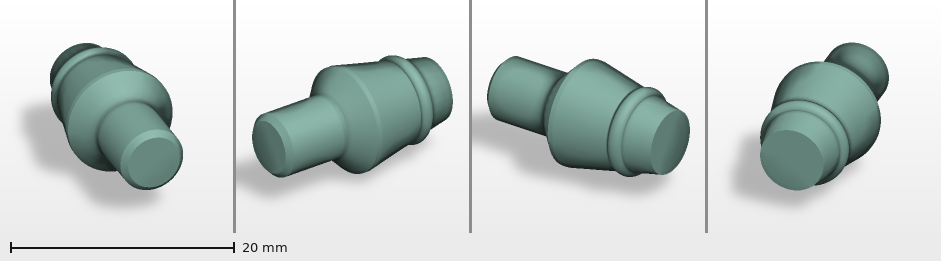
import cadquery as cq

length = 18.41
head_diameter = 10.0
shank_diameter = 6.0
nose_length = 9.4
band_width = 0.5
root_fillet = 0.37
end_chamfer = 0.53

ring_x = 3.5
ring_section_radius = 0.75
ring_outer_radius = 4.16

head_radius = head_diameter / 2
shank_radius = shank_diameter / 2
band_end = nose_length + band_width
shoulder_end = band_end + head_radius - shank_radius
ring_start = ring_x - ring_section_radius
ring_end = ring_x + ring_section_radius
ring_center_radius = ring_outer_radius - ring_section_radius


def nose_radius(x):
    """Radius of the tapered nose at distance x from its small end."""
    return shank_radius + (head_radius - shank_radius) * x / nose_length


def turned_body():
    """Nose, band, 45 degree shoulder and shank, with the ring in its groove."""
    profile = (
        cq.Workplane("XY")
        .moveTo(0, 0)
        .lineTo(0, shank_radius)
        .lineTo(ring_start, nose_radius(ring_start))
        .lineTo(ring_start, ring_center_radius)
        .threePointArc((ring_x, ring_outer_radius), (ring_end, ring_center_radius))
        .lineTo(ring_end, nose_radius(ring_end))
        .lineTo(nose_length, head_radius)
        .lineTo(band_end, head_radius)
        .lineTo(shoulder_end, shank_radius)
        .lineTo(length, shank_radius)
        .lineTo(length, 0)
        .close()
    )
    return profile.revolve(360, (0, 0, 0), (1, 0, 0))


def round_shank_root(body):
    """Fillet the inside corner where the shoulder meets the shank."""
    selection_margin = 0.18
    near_root = cq.selectors.BoxSelector(
        (shoulder_end - selection_margin, -head_radius, -head_radius),
        (shoulder_end + selection_margin, head_radius, head_radius),
    )
    return body.edges("%CIRCLE").edges(near_root).fillet(root_fillet)


body = round_shank_root(turned_body())
result = body.faces(">X").edges().chamfer(end_chamfer)